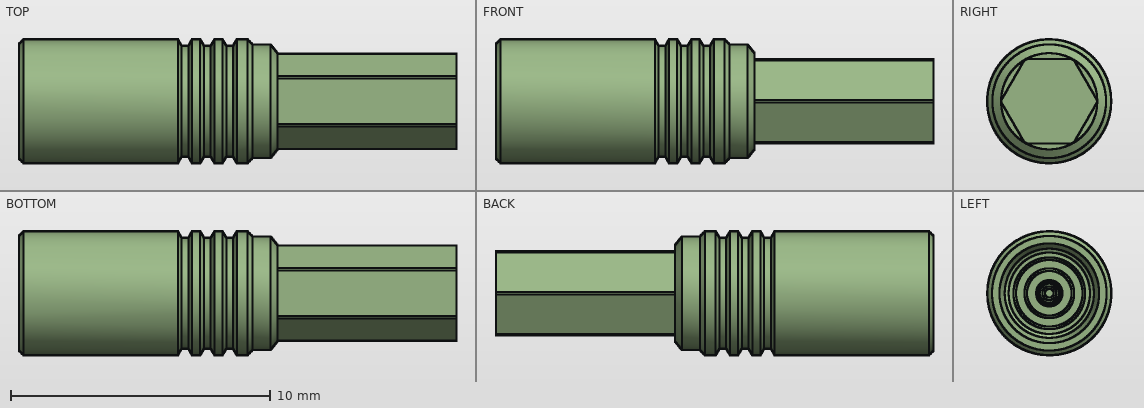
import cadquery as cq
import math

TOTAL_LENGTH = 16.9
BODY_RADIUS = 2.4
BODY_LENGTH = 9.99
MOUTH_CHAMFER = 0.19

GROOVE_COUNT = 3
FIRST_GROOVE_X = 6.13
GROOVE_PITCH = 0.86
GROOVE_WIDTH = 0.55
GROOVE_WALL = 0.15
GROOVE_RADIUS = 2.15

COLLAR_SLOPE_START = 8.82
COLLAR_START = 9.02
COLLAR_RADIUS = 2.2
COLLAR_CHAMFER_START = 9.72
COLLAR_END_RADIUS = 1.86

HEX_ACROSS_FLATS = 3.25
HEX_EDGE_RADIUS = 1.85

MOUTH_RADIUS = 1.93
LEAD_IN_RADIUS = 1.72
LEAD_IN_DEPTH = 0.47
SEAT_RADIUS = 1.57
SEAT_DEPTH = 2.7
SEAT_TAPER_LENGTH = 0.08
WELL_RADIUS = 1.39
WELL_CHAMFER = 0.1
WELL_DEPTH = 3.38

INSULATOR_RADIUS = 0.96
INSULATOR_FRONT = 1.34
INSULATOR_CHAMFER = 0.1
INSULATOR_BORE_RADIUS = 0.5
INSULATOR_BORE_DEPTH = 0.68
CONTACT_RADIUS = 0.45
CONTACT_RECESS = 0.1
CONTACT_CHAMFER = 0.08
CONTACT_HOLE_RADIUS = 0.17
CONTACT_COUNTERSINK = 0.1
CONTACT_HOLE_DEPTH = 1.01


def revolve_about_x(points):
    """Revolve a closed (x, radius) outline about the X axis."""
    outline = cq.Workplane("XY").polyline(points).close()
    return outline.revolve(360, (0, 0, 0), (1, 0, 0))


def make_groove(start):
    """Ring cutter with sloping walls for one grip groove."""
    end = start + GROOVE_WIDTH
    return revolve_about_x([
        (start, BODY_RADIUS),
        (start + GROOVE_WALL, GROOVE_RADIUS),
        (end - GROOVE_WALL, GROOVE_RADIUS),
        (end, BODY_RADIUS),
    ])


def make_body():
    """Outer sleeve: chamfered barrel, grip grooves and rear collar."""
    body = revolve_about_x([
        (0, 0),
        (0, BODY_RADIUS - MOUTH_CHAMFER),
        (MOUTH_CHAMFER, BODY_RADIUS),
        (COLLAR_SLOPE_START, BODY_RADIUS),
        (COLLAR_START, COLLAR_RADIUS),
        (COLLAR_CHAMFER_START, COLLAR_RADIUS),
        (BODY_LENGTH, COLLAR_END_RADIUS),
        (BODY_LENGTH, 0),
    ])
    for index in range(GROOVE_COUNT):
        body = body.cut(make_groove(FIRST_GROOVE_X + index * GROOVE_PITCH))
    return body


def make_ferrule():
    """Hexagonal rear end with flats facing up and down."""
    across_corners = HEX_ACROSS_FLATS / math.cos(math.pi / 6)
    length = TOTAL_LENGTH - BODY_LENGTH
    start_plane = cq.Workplane("YZ").workplane(offset=BODY_LENGTH)
    hexagon = start_plane.polygon(6, across_corners).extrude(length)
    turned_edges = start_plane.circle(HEX_EDGE_RADIUS).extrude(length)
    return hexagon.intersect(turned_edges)


def make_socket():
    """Cavity with a lead-in, a straight wall, a short taper and a stepped well."""
    return revolve_about_x([
        (0, 0),
        (0, MOUTH_RADIUS),
        (LEAD_IN_DEPTH, LEAD_IN_RADIUS),
        (SEAT_DEPTH - SEAT_TAPER_LENGTH, LEAD_IN_RADIUS),
        (SEAT_DEPTH, SEAT_RADIUS),
        (SEAT_DEPTH, WELL_RADIUS),
        (SEAT_DEPTH + WELL_CHAMFER, WELL_RADIUS - WELL_CHAMFER),
        (WELL_DEPTH, WELL_RADIUS - WELL_CHAMFER),
        (WELL_DEPTH, 0),
    ])


def make_insulator_and_contact():
    """Chamfered insulator post holding a recessed tubular contact."""
    bore_floor = INSULATOR_FRONT + INSULATOR_BORE_DEPTH
    contact_front = INSULATOR_FRONT + CONTACT_RECESS
    return revolve_about_x([
        (WELL_DEPTH, 0),
        (WELL_DEPTH, INSULATOR_RADIUS),
        (INSULATOR_FRONT + INSULATOR_CHAMFER, INSULATOR_RADIUS),
        (INSULATOR_FRONT, INSULATOR_RADIUS - INSULATOR_CHAMFER),
        (INSULATOR_FRONT, INSULATOR_BORE_RADIUS),
        (bore_floor, INSULATOR_BORE_RADIUS),
        (bore_floor, CONTACT_RADIUS),
        (contact_front + CONTACT_CHAMFER, CONTACT_RADIUS),
        (contact_front, CONTACT_RADIUS - CONTACT_CHAMFER),
        (contact_front, CONTACT_HOLE_RADIUS + CONTACT_COUNTERSINK),
        (contact_front + CONTACT_COUNTERSINK, CONTACT_HOLE_RADIUS),
        (contact_front + CONTACT_HOLE_DEPTH, CONTACT_HOLE_RADIUS),
        (contact_front + CONTACT_HOLE_DEPTH, 0),
    ])


shell = make_body().union(make_ferrule()).cut(make_socket())
result = shell.union(make_insulator_and_contact())